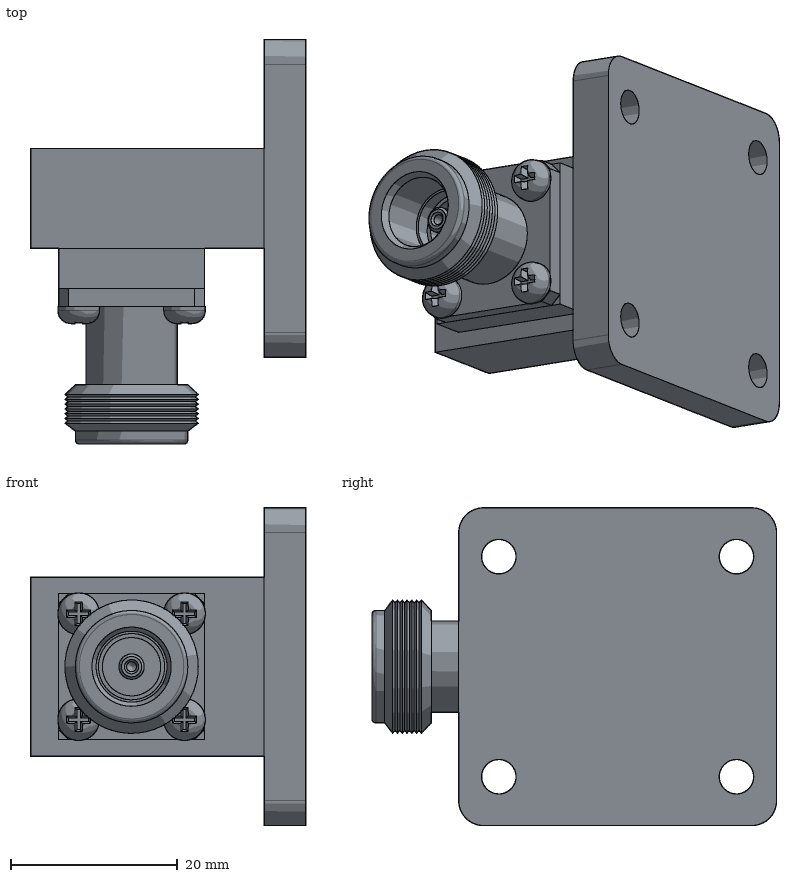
import cadquery as cq
import math


flange_size = 38.15
flange_thickness = 5.0
flange_corner_radius = 3.0
flange_hole_diameter = 4.1
flange_hole_pitch_y = 28.5
flange_hole_pitch_z = 26.4

block_length = 28.0
block_width = 12.0
block_height = 21.5
pad_size = 17.5
pad_thickness = 4.8
port_from_block_end = 12.1

plate_thickness = 2.2
plate_corner_chamfer = 1.2
screw_pitch = 12.7
screw_head_diameter = 5.01
screw_head_height = 2.05
screw_head_round = 1.6
cross_length = 2.9
cross_width = 0.9
cross_depth = 1.2
cross_wall_inset = 0.25

overall_width = 48.56
connector_reach = overall_width - flange_size / 2
barrel_diameter = 10.99
nose_diameter = 13.49
nose_length = 1.55
nose_round = 0.48
crest_diameter = 16.0
root_diameter = 15.3
thread_pitch = 0.575
crest_count = 7
thread_start = 2.5
collar_flank_length = 1.18

mouth_diameter = 9.5
socket_diameter = 8.5
mouth_taper_depth = 0.9
socket_depth = 7.0
seat_diameter = 7.95
seat_depth = 9.0
line_diameter = 7.0
contact_diameter = 3.04
contact_tip_diameter = 2.44
contact_tip_taper = 0.3
contact_recess = 5.0
contact_sink_diameter = 1.71
contact_hole_diameter = 1.2
contact_sink_depth = 0.25
contact_hole_depth = 3.0
drill_point_angle = 118.0

port_x = -flange_thickness - block_length + port_from_block_end
block_face = block_width / 2
pad_face = block_face + pad_thickness
plate_face = pad_face + plate_thickness
barrel_length = connector_reach - plate_face


def port_plane(distance):
    """Plane across the port axis, facing outward (-Y), at a distance from the waveguide axis."""
    return cq.Workplane("XZ", origin=(port_x, -distance, 0))


def revolve_about_port(points):
    """Solid of revolution from (radius, depth behind the connector mouth) points."""
    profile = cq.Workplane("XY", origin=(port_x, -connector_reach, 0)).polyline(points).close()
    return profile.revolve(360, (0, 0), (0, 1))


def make_waveguide():
    flange = (
        cq.Workplane("YZ")
        .rect(flange_size, flange_size)
        .extrude(-flange_thickness)
        .edges("|X")
        .fillet(flange_corner_radius)
    )
    holes = (
        cq.Workplane("YZ")
        .rect(flange_hole_pitch_y, flange_hole_pitch_z, forConstruction=True)
        .vertices()
        .circle(flange_hole_diameter / 2)
        .extrude(-flange_thickness)
    )
    block = (
        cq.Workplane("YZ", origin=(-flange_thickness, 0, 0))
        .rect(block_width, block_height)
        .extrude(-block_length)
    )
    pad = port_plane(block_face).rect(pad_size, pad_size).extrude(pad_thickness)
    return flange.cut(holes).union(block).union(pad)


def make_screw_head(x, z):
    base = port_plane(plate_face).center(x, z)
    head = (
        base.circle(screw_head_diameter / 2)
        .extrude(screw_head_height)
        .faces("<Y")
        .edges()
        .fillet(screw_head_round)
    )
    top = port_plane(plate_face + screw_head_height).center(x, z)
    wall_angle = math.degrees(math.atan2(cross_wall_inset, cross_depth))
    for size in ((cross_length, cross_width), (cross_width, cross_length)):
        slot = top.rect(*size).extrude(-cross_depth, taper=wall_angle)
        head = head.cut(slot)
    return head


def make_barrel():
    """Barrel with its threaded collar and rounded nose, before boring."""
    nose_radius = nose_diameter / 2
    points = [(0, 0), (nose_radius, 0), (nose_radius, nose_length)]
    for crest in range(crest_count):
        crest_depth = thread_start + crest * thread_pitch
        points.append((crest_diameter / 2, crest_depth))
        if crest < crest_count - 1:
            points.append((root_diameter / 2, crest_depth + thread_pitch / 2))
    collar_back = thread_start + (crest_count - 1) * thread_pitch + collar_flank_length
    points += [
        (nose_radius, collar_back),
        (barrel_diameter / 2, collar_back),
        (barrel_diameter / 2, barrel_length),
        (0, barrel_length),
    ]
    return revolve_about_port(points).faces("<Y").edges().fillet(nose_round)


def make_bore():
    """Tapered mouth, socket, stepped seat and the narrower coaxial line behind it."""
    return revolve_about_port([
        (0, 0),
        (mouth_diameter / 2, 0),
        (socket_diameter / 2, mouth_taper_depth),
        (socket_diameter / 2, socket_depth),
        (seat_diameter / 2, socket_depth),
        (seat_diameter / 2, seat_depth),
        (line_diameter / 2, seat_depth),
        (line_diameter / 2, barrel_length),
        (0, barrel_length),
    ])


def make_contact():
    """Centre contact with a tapered tip and a countersunk blind hole."""
    hole_radius = contact_hole_diameter / 2
    hole_end = contact_recess + contact_hole_depth
    drill_point = hole_radius / math.tan(math.radians(drill_point_angle / 2))
    return revolve_about_port([
        (0, hole_end + drill_point),
        (hole_radius, hole_end),
        (hole_radius, contact_recess + contact_sink_depth),
        (contact_sink_diameter / 2, contact_recess),
        (contact_tip_diameter / 2, contact_recess),
        (contact_diameter / 2, contact_recess + contact_tip_taper),
        (contact_diameter / 2, barrel_length),
        (0, barrel_length),
    ])


def make_connector():
    plate = (
        port_plane(pad_face)
        .rect(pad_size, pad_size)
        .extrude(plate_thickness)
        .edges("|Y")
        .chamfer(plate_corner_chamfer)
    )
    connector = plate.union(make_barrel().cut(make_bore())).union(make_contact())
    for x in (-screw_pitch / 2, screw_pitch / 2):
        for z in (-screw_pitch / 2, screw_pitch / 2):
            connector = connector.union(make_screw_head(x, z))
    return connector


waveguide = make_waveguide()
connector = make_connector()

result = cq.Compound.makeCompound([waveguide.val(), connector.val()])